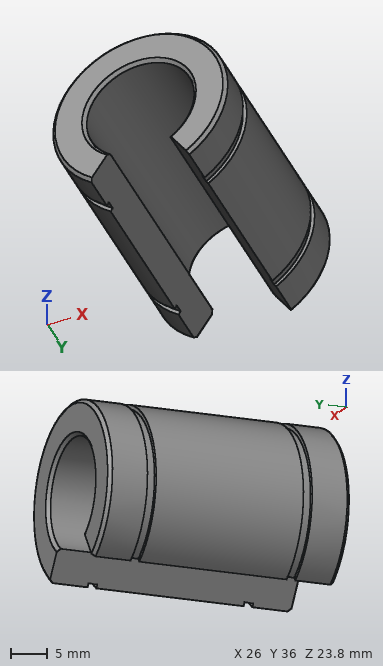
import cadquery as cq
import math

length = 36.0
outer_radius = 13.0
bore_radius = 8.0
edge_chamfer = 0.5
opening_angle = 68.0

groove_width = 1.3
groove_depth = 0.58
groove_end_distance = 5.72


def make_tube():
    """Plain tube, chamfered on the outer and bore edges of both ends."""
    tube = (
        cq.Workplane("XZ")
        .circle(outer_radius)
        .circle(bore_radius)
        .extrude(length / 2, both=True)
    )
    return tube.edges("%CIRCLE").chamfer(edge_chamfer)


def make_groove(center_y):
    """Ring of material to remove for one groove centred at center_y."""
    return (
        cq.Workplane("XZ", origin=(0, center_y + groove_width / 2, 0))
        .circle(outer_radius + groove_depth)
        .circle(outer_radius - groove_depth)
        .extrude(groove_width)
    )


def make_opening():
    """Wedge with its tip on the bore axis and radial sides."""
    wedge_depth = 2 * outer_radius
    half_width = wedge_depth * math.tan(math.radians(opening_angle / 2))
    return (
        cq.Workplane("XZ")
        .polyline([(0, 0), (half_width, -wedge_depth), (-half_width, -wedge_depth)])
        .close()
        .extrude(length, both=True)
    )


result = make_tube()
groove_offset = length / 2 - groove_end_distance - groove_width / 2
for side in (-1, 1):
    result = result.cut(make_groove(side * groove_offset))
result = result.cut(make_opening())